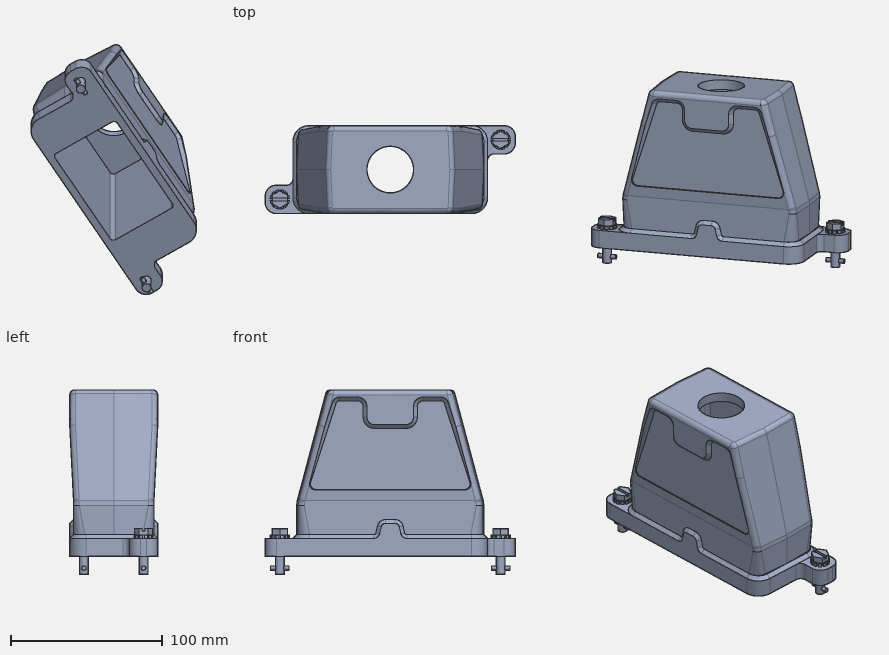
import cadquery as cq
import math


half_length = 82.5
half_depth = 29.0
hood_top = 109.7
pin_drop = 11.9

flange_height = 11.9
flange_half_length = 64.2
flange_corner = 10.7
ear_width = 18.8
ear_corner = 7.5
ear_root = 4.1
bevel = 2.5
flare = -45
overcut = 0.2

tab_top = 21.8
tab_foot_half = 7.8
tab_head_half = 5.5
tab_head_round = 3.0
tab_foot_round = 4.0
tab_strip_half = 24.8

skirt_top = 35.1
bend_half_height = 1.5
shoulder_height = 85.5
skirt_half_length = 61.7
skirt_half_depth = half_depth - bevel
top_half_length = 41.9
end_peak = 1.3
edge_round = 4.0
top_round = 3.5
skirt_foot_round = 8.2

panel_bottom = 44.0
panel_top = 102.5
panel_bottom_half = 54.0
panel_top_half = 35.1
panel_top_round = 2.5
panel_bottom_round = 3.6
tongue_bottom = 84.3
tongue_half = 17.8
tongue_head_round = 3.8
tongue_tip_round = 7.5

entry_diameter = 30.5
roof_thickness = 6.6
cavity_half_length = 37.0
cavity_half_depth = 24.1
cavity_corner = 2.6

screw_inset = 9.7
screw_x = half_length - screw_inset
screw_y = half_depth - ear_width / 2
washer_diameter = 12.7
washer_height = 2.1
tooth_count = 12
tooth_gap = 1.2
tooth_depth = 1.5
head_across_flats = 10.2
head_height = 4.3
slot_width = 1.8
slot_depth = 1.6
pin_diameter = 6.0
cross_pin_diameter = 3.0
cross_pin_length = 12.4
cross_pin_drop = 7.8


def rounded_outline(plane, corners):
    """Closed outline on a workplane; each corner is (x, y, radius), radius 0 being sharp."""
    path = plane
    for i, (x, y, radius) in enumerate(corners):
        before = corners[i - 1]
        after = corners[(i + 1) % len(corners)]
        to_before = cq.Vector(before[0] - x, before[1] - y).normalized()
        to_after = cq.Vector(after[0] - x, after[1] - y).normalized()
        half_angle = to_before.getAngle(to_after) / 2
        corner = cq.Vector(x, y)
        setback = radius / math.tan(half_angle)
        start = corner + to_before * setback
        path = path.moveTo(start.x, start.y) if i == 0 else path.lineTo(start.x, start.y)
        if radius > 0:
            middle_gap = radius / math.sin(half_angle) - radius
            middle = corner + (to_before + to_after).normalized() * middle_gap
            end = corner + to_after * setback
            path = path.threePointArc((middle.x, middle.y), (end.x, end.y))
    return path.close()


def mirrored_corners(right_half):
    """Complete a symmetric outline from its corners on the +X side, listed bottom to top."""
    return right_half + [(-x, y, radius) for x, y, radius in reversed(right_half)]


def on_both_long_sides(solid):
    return solid.union(solid.mirror("XZ"))


def make_flange():
    rectangle = mirrored_corners([
        (flange_half_length, -half_depth, flange_corner),
        (flange_half_length, half_depth, flange_corner),
    ])
    slab = rounded_outline(cq.Workplane("XY"), rectangle).extrude(flange_height + bevel)
    slab = slab.faces(">Z").edges().chamfer(bevel)

    ear_inner_y = half_depth - ear_width
    ear_base_x = flange_half_length - flange_corner
    ear = rounded_outline(cq.Workplane("XY"), [
        (ear_base_x, half_depth, 0),
        (ear_base_x, ear_inner_y - 2 * ear_root, 0),
        (flange_half_length, ear_inner_y - 2 * ear_root, 0),
        (flange_half_length, ear_inner_y, ear_root),
        (half_length, ear_inner_y, ear_corner),
        (half_length, half_depth, ear_corner),
    ]).extrude(flange_height)
    opposite_ear = ear.rotate((0, 0, 0), (0, 0, 1), 180)
    return slab.union(ear).union(opposite_ear)


def make_tab():
    """Raised tab that flares outward at 45 degrees from its face to the hood wall."""
    face = cq.Plane(origin=(0, -half_depth, 0), xDir=(-1, 0, 0), normal=(0, 1, 0))
    corners = mirrored_corners([
        (tab_strip_half, flange_height / 2, 0),
        (tab_strip_half, flange_height, 0),
        (tab_foot_half, flange_height, tab_foot_round),
        (tab_head_half, tab_top, tab_head_round),
    ])
    return rounded_outline(cq.Workplane(face), corners).extrude(bevel, taper=flare)


def hood_section(height, side_half, corner):
    """Hood cross-section: a rectangle whose short ends rise to a slight peak at Y = 0."""
    rise = max(0, height - skirt_top) / (hood_top - skirt_top)
    peak_half = skirt_half_length + rise * (top_half_length - skirt_half_length)
    corner_half = peak_half - end_peak * side_half / half_depth
    outline = mirrored_corners([
        (corner_half, -side_half, corner),
        (peak_half, 0, 0),
        (corner_half, side_half, corner),
    ])
    return rounded_outline(cq.Workplane("XY", origin=(0, 0, height)), outline).wires().val()


def make_hood():
    bend_low = skirt_top - bend_half_height
    bend_high = skirt_top + bend_half_height

    skirt = cq.Workplane(cq.Solid.makeLoft([
        hood_section(flange_height, skirt_half_depth, skirt_foot_round),
        hood_section(bend_low, skirt_half_depth, edge_round),
    ], True))

    tower = cq.Workplane(cq.Solid.makeLoft([
        hood_section(height, half_depth, 0) for height in (bend_low, bend_high, hood_top)
    ], True))
    side_profile = mirrored_corners([
        (skirt_half_depth, bend_low, 0),
        (skirt_half_depth, bend_high, 0),
        (half_depth, shoulder_height, 0),
        (half_depth, hood_top, 0),
    ])
    side_limits = rounded_outline(cq.Workplane("YZ"), side_profile).extrude(half_length, both=True)
    tower = tower.intersect(side_limits)
    corner_edges = tower.edges("not #Z").filter(
        lambda edge: abs(edge.Center().y) > skirt_half_depth - edge_round
    )
    tower = corner_edges.fillet(edge_round)
    tower = tower.faces(">Z").edges().fillet(top_round)
    return skirt.union(tower)


def make_panel_cutter():
    """Sunken panel with a flat upright floor and 45 degree walls, notched by a tongue."""
    floor = cq.Workplane("XZ", origin=(0, -skirt_half_depth, 0))
    corners = mirrored_corners([
        (panel_bottom_half, panel_bottom, panel_bottom_round),
        (panel_top_half, panel_top, panel_top_round),
        (tongue_half, panel_top, tongue_head_round),
        (tongue_half, tongue_bottom, tongue_tip_round),
    ])
    return rounded_outline(floor, corners).extrude(bevel + overcut, taper=flare)


def make_cavity():
    plan = mirrored_corners([
        (cavity_half_length, -cavity_half_depth, cavity_corner),
        (cavity_half_length, cavity_half_depth, cavity_corner),
    ])
    cavity = rounded_outline(cq.Workplane("XY"), plan).extrude(hood_top - roof_thickness)
    return cavity.union(cq.Workplane("XY").circle(entry_diameter / 2).extrude(hood_top))


def make_screw():
    washer_top = flange_height + washer_height
    head_top = washer_top + head_height
    washer = cq.Workplane("XY", origin=(0, 0, flange_height)).circle(washer_diameter / 2)
    washer = washer.extrude(washer_height)
    gaps = (
        cq.Workplane("XY", origin=(0, 0, flange_height))
        .polarArray(washer_diameter / 2, 0, 360, tooth_count)
        .rect(2 * tooth_depth, tooth_gap)
        .extrude(washer_height)
    )
    head = (
        cq.Workplane("XY", origin=(0, 0, washer_top))
        .polygon(6, head_across_flats / math.cos(math.pi / 6))
        .extrude(head_height)
        .rotate((0, 0, 0), (0, 0, 1), 30)
    )
    slot = cq.Workplane("XY", origin=(0, 0, head_top - slot_depth))
    slot = slot.rect(2 * head_across_flats, slot_width).extrude(slot_depth)
    pin = cq.Workplane("XY", origin=(0, 0, -pin_drop)).circle(pin_diameter / 2)
    pin = pin.extrude(pin_drop + flange_height)
    cross_pin = cq.Workplane("YZ").center(0, -cross_pin_drop).circle(cross_pin_diameter / 2)
    cross_pin = cross_pin.extrude(cross_pin_length / 2, both=True)
    return washer.cut(gaps).union(head.cut(slot)).union(pin).union(cross_pin)


result = make_hood().cut(on_both_long_sides(make_panel_cutter()))
result = result.union(make_flange()).union(on_both_long_sides(make_tab()))
result = result.cut(make_cavity())
screw = make_screw()
for side in (-1, 1):
    result = result.union(screw.translate((side * screw_x, side * screw_y, 0)))